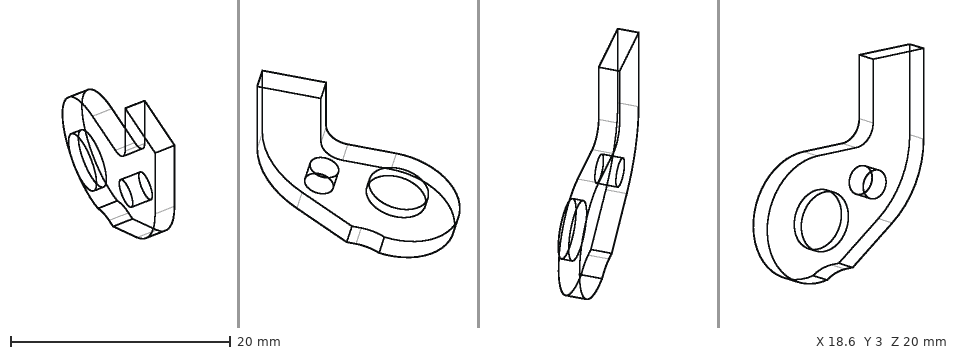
import cadquery as cq
import math

plate_thickness = 2
head_radius = 6
arm_width = 6
arm_right = 12.55
arm_top = 14
inner_fillet = 2
outer_bend_radius = 9
outer_bend_start = 5.45
lower_edge_angle = 36
toe_bottom = -5.25
toe_flat_start = 3.3
notch_radius = 4
pin_diameter = 5.6
pin_height = 1
hole_diameter = 2.7
hole_x = 6.75
hole_z = 2.15

arm_left = arm_right - arm_width


def arc_point(center, radius, degrees):
    angle = math.radians(degrees)
    return (center[0] + radius * math.cos(angle), center[1] + radius * math.sin(angle))


bend_center = (arm_right - outer_bend_radius, outer_bend_start)
bend_end_angle = lower_edge_angle - 90
bend_end = arc_point(bend_center, outer_bend_radius, bend_end_angle)
bend_middle = arc_point(bend_center, outer_bend_radius, bend_end_angle / 2)
toe_x = bend_end[0] - (bend_end[1] - toe_bottom) / math.tan(math.radians(lower_edge_angle))

notch_center = (toe_flat_start, toe_bottom - notch_radius)
center_distance = math.hypot(*notch_center)
direction = math.degrees(math.atan2(notch_center[1], notch_center[0]))
meeting_offset = math.degrees(math.acos(
    (head_radius**2 + center_distance**2 - notch_radius**2) / (2 * head_radius * center_distance)
))
head_end = arc_point((0, 0), head_radius, direction - meeting_offset)
notch_end_angle = math.degrees(
    math.atan2(head_end[1] - notch_center[1], head_end[0] - notch_center[0])
)
notch_middle = arc_point(notch_center, notch_radius, (90 + notch_end_angle) / 2)

front = cq.Workplane("XZ")

plate = (
    front.moveTo(0, head_radius)
    .lineTo(arm_left - inner_fillet, head_radius)
    .radiusArc((arm_left, head_radius + inner_fillet), -inner_fillet)
    .lineTo(arm_left, arm_top)
    .lineTo(arm_right, arm_top)
    .lineTo(arm_right, outer_bend_start)
    .threePointArc(bend_middle, bend_end)
    .lineTo(toe_x, toe_bottom)
    .lineTo(toe_flat_start, toe_bottom)
    .threePointArc(notch_middle, head_end)
    .threePointArc((-head_radius, 0), (0, head_radius))
    .close()
    .extrude(plate_thickness)
)

pin = front.circle(pin_diameter / 2).extrude(plate_thickness + pin_height)
hole = front.center(hole_x, hole_z).circle(hole_diameter / 2).extrude(plate_thickness)

result = plate.union(pin).cut(hole)